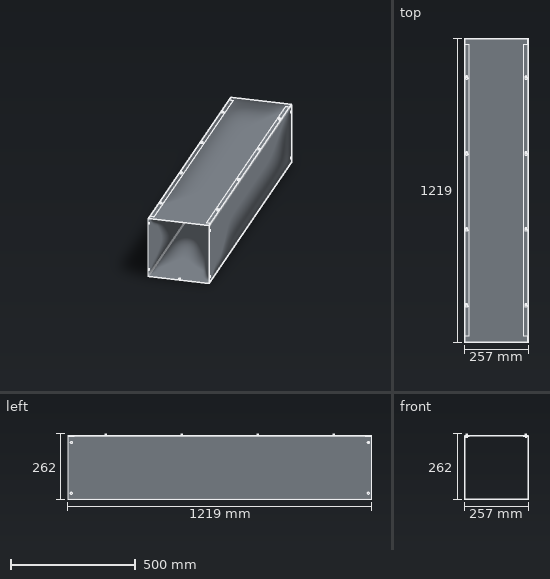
import cadquery as cq

length = 1219.0
width = 257.0
overall_height = 262.0
sheet = 1.8
bend_radius = 2.7

flange_width = 20.0
flange_setback = 24.0

lid_side_gap = 2.0
lid_width = width - 2 * lid_side_gap

mounting_hole_diameter = 7.0
mounting_hole_end_distance = 13.0
lower_hole_height = 25.0
upper_hole_height = 229.0

screws_per_row = 4
screw_pitch = length / screws_per_row
screw_side_distance = 10.0
head_diameter = 6.0
head_height = 4.6
shank_diameter = 5.0
shank_length = 9.0

keyhole_entry_diameter = 9.0
keyhole_travel = 7.0

trough_height = overall_height - head_height - sheet
lid_bottom = trough_height
lid_top = lid_bottom + sheet
end_hole_positions = [mounting_hole_end_distance, length - mounting_hole_end_distance]
screw_positions = [
    (side * (width / 2 - screw_side_distance), (index + 0.5) * screw_pitch)
    for side in (-1, 1)
    for index in range(screws_per_row)
]


def box_from(x_size, y_start, y_size, z_start, z_size):
    """Box centred on X, starting at the given Y and Z."""
    return (
        cq.Workplane("XY")
        .box(x_size, y_size, z_size, centered=(True, False, False))
        .translate((0, y_start, z_start))
    )


def vertical_cylinders(points, diameter, z_start, height):
    return cq.Workplane("XY", origin=(0, 0, z_start)).pushPoints(points).circle(diameter / 2).extrude(height)


def make_trough():
    """Bent sheet channel with two inward top flanges that stop short of the open ends."""
    inside_width = width - 2 * sheet
    outside = box_from(width, 0, length, 0, trough_height).edges("|Y").fillet(bend_radius)
    inside = (
        box_from(inside_width, 0, length, sheet, trough_height - 2 * sheet)
        .edges("|Y")
        .fillet(bend_radius - sheet)
    )
    opening = box_from(width - 2 * flange_width, 0, length, trough_height - sheet, sheet)
    trough = outside.cut(inside).cut(opening)

    for y_start in (0, length - flange_setback):
        trough = trough.cut(box_from(inside_width, y_start, flange_setback, trough_height - sheet, sheet))

    side_points = [(y, z) for y in end_hole_positions for z in (lower_hole_height, upper_hole_height)]
    side_holes = (
        cq.Workplane("YZ")
        .pushPoints(side_points)
        .circle(mounting_hole_diameter / 2)
        .extrude(width / 2, both=True)
    )
    floor_points = [(0, y) for y in end_hole_positions]
    floor_holes = vertical_cylinders(floor_points, mounting_hole_diameter, 0, sheet)
    screw_holes = vertical_cylinders(screw_positions, shank_diameter, trough_height - sheet, sheet)
    return trough.cut(side_holes).cut(floor_holes).cut(screw_holes)


def make_lid():
    """Flat plate with a keyhole slot at each screw."""
    lid = box_from(lid_width, 0, length, lid_bottom, sheet)
    narrow_slots = (
        cq.Workplane("XY", origin=(0, 0, lid_bottom))
        .pushPoints([(x, y - keyhole_travel / 2) for x, y in screw_positions])
        .slot2D(keyhole_travel + shank_diameter, shank_diameter, 90)
        .extrude(sheet)
    )
    entry_points = [(x, y - keyhole_travel) for x, y in screw_positions]
    entries = vertical_cylinders(entry_points, keyhole_entry_diameter, lid_bottom, sheet)
    return lid.cut(narrow_slots).cut(entries)


def make_screw(x, y):
    """Round-headed screw standing on the lid, its shank reaching through lid and flange."""
    head = cq.Workplane("XY").circle(head_diameter / 2).extrude(head_height)
    shank = cq.Workplane("XY").circle(shank_diameter / 2).extrude(-shank_length)
    return head.union(shank).translate((x, y, lid_top))


trough = make_trough()
lid = make_lid()
screws = [make_screw(x, y) for x, y in screw_positions]

result = cq.Compound.makeCompound([trough.val(), lid.val(), *[screw.val() for screw in screws]])